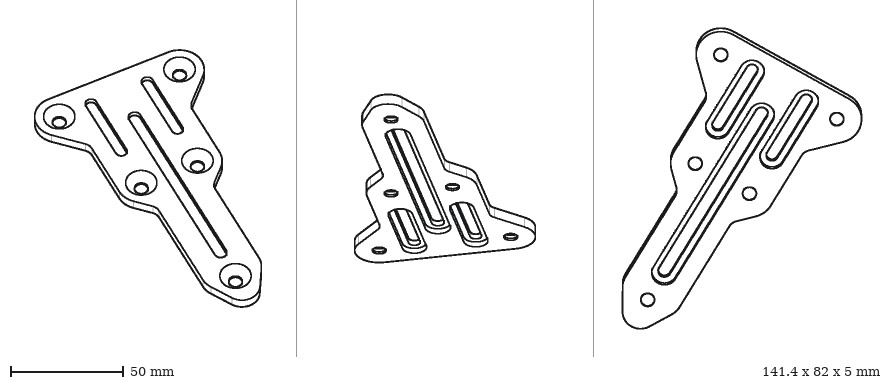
import cadquery as cq
import math

length = 141.4
thickness = 5.0
lobe_radius = 11.0
inner_fillet = 5.0

rear_x = lobe_radius
rear_y = 30.0
middle_x = 61.0
middle_y = 14.0
tip_hole_x = 127.0

nose_angle = math.radians(30)
nose_radius = 8.0
nose_shoulder_radius = 10.0

hole_diameter = 6.1
sink_diameter = 14.0
sink_angle = 90

side_slot_start = 8.2
side_slot_end = 43.5
side_slot_width = 5.2
center_slot_start = 23.5
center_slot_end = 115.0
center_slot_width = 5.7

recess_depth = thickness / 2
recess_margin = 2.8

body_half_width = middle_y + lobe_radius
arm_half_width = middle_y

diagonal = math.sqrt(0.5)
tangent_offset = lobe_radius * diagonal
rear_corner_x = rear_x + rear_y + lobe_radius / diagonal - body_half_width
middle_corner_x = middle_x + middle_y + lobe_radius / diagonal - arm_half_width

nose_center_x = length - nose_radius
nose_tangent_x = nose_center_x + nose_radius * math.sin(nose_angle)
nose_tangent_y = nose_radius * math.cos(nose_angle)
nose_corner_x = nose_tangent_x - (arm_half_width - nose_tangent_y) / math.tan(nose_angle)


def half_plate():
    """Plate on the +Y side, with the three straight-edge corners still sharp."""
    return (
        cq.Workplane("XY")
        .lineTo(0, rear_y)
        .threePointArc(
            (rear_x, rear_y + lobe_radius),
            (rear_x + tangent_offset, rear_y + tangent_offset),
        )
        .lineTo(rear_corner_x, body_half_width)
        .lineTo(middle_x, body_half_width)
        .threePointArc(
            (
                middle_x + lobe_radius * math.sin(math.pi / 8),
                middle_y + lobe_radius * math.cos(math.pi / 8),
            ),
            (middle_x + tangent_offset, middle_y + tangent_offset),
        )
        .lineTo(middle_corner_x, arm_half_width)
        .lineTo(nose_corner_x, arm_half_width)
        .lineTo(nose_tangent_x, nose_tangent_y)
        .radiusArc((length, 0), nose_radius)
        .close()
        .extrude(thickness)
    )


def round_corner(plate, x, y, radius):
    """Fillet the vertical edge through (x, y)."""
    corner = cq.selectors.NearestToPointSelector((x, y, thickness / 2))
    return plate.edges("|Z").edges(corner).fillet(radius)


def slot(start, end, width, y):
    """Through slot with a wider recess rising from the underside."""
    base = cq.Workplane("XY").center((start + end) / 2, y)
    slot_length = end - start
    through = base.slot2D(slot_length, width).extrude(thickness)
    recess = base.slot2D(slot_length + 2 * recess_margin, width + 2 * recess_margin).extrude(recess_depth)
    return through.union(recess)


half = half_plate()
half = round_corner(half, rear_corner_x, body_half_width, inner_fillet)
half = round_corner(half, middle_corner_x, arm_half_width, inner_fillet)
half = round_corner(half, nose_corner_x, arm_half_width, nose_shoulder_radius)
plate = half.union(half.mirror("XZ")).clean()

screw_points = [(tip_hole_x, 0)]
for side in (-1, 1):
    screw_points.append((rear_x, side * rear_y))
    screw_points.append((middle_x, side * middle_y))
    plate = plate.cut(slot(side_slot_start, side_slot_end, side_slot_width, side * middle_y))

plate = plate.cut(slot(center_slot_start, center_slot_end, center_slot_width, 0))

result = (
    plate.faces(">Z")
    .workplane(origin=(0, 0, thickness))
    .pushPoints(screw_points)
    .cskHole(hole_diameter, sink_diameter, sink_angle)
)